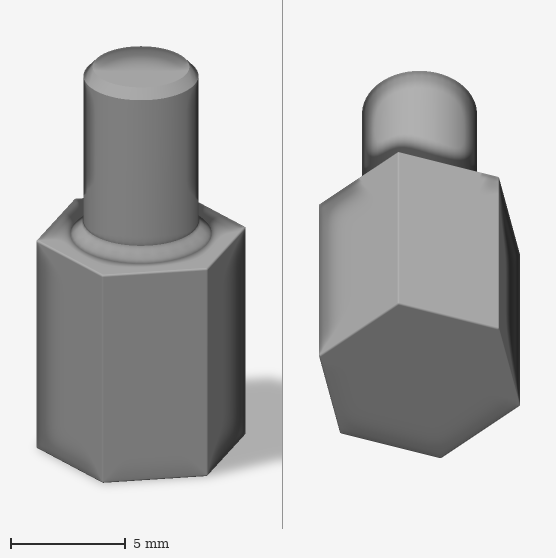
import cadquery as cq
import math

total_height = 18.0
hex_height = total_height * 5 / 9
across_flats = hex_height * 4 / 5
edge_radius = 0.09

stud_radius = 2.5
tip_radius = 2.1
tip_height = 0.43
cone_base_radius = 3.08
stud_root = hex_height / 2
cone_height = cone_base_radius - stud_radius


def hexagonal_body():
    """Hexagonal prism with corners on the X axis and every edge rounded."""
    across_corners = across_flats / math.cos(math.pi / 6)
    prism = cq.Workplane("XY").polygon(6, across_corners).extrude(hex_height)
    return prism.edges().fillet(edge_radius)


def stud():
    """Turned stud with a conical foot and a bevelled tip."""
    return (
        cq.Workplane("XZ")
        .moveTo(0, stud_root)
        .lineTo(cone_base_radius, stud_root)
        .lineTo(cone_base_radius, hex_height)
        .lineTo(stud_radius, hex_height + cone_height)
        .lineTo(stud_radius, total_height - tip_height)
        .lineTo(tip_radius, total_height)
        .lineTo(0, total_height)
        .close()
        .revolve(360, (0, 0, 0), (0, 1, 0))
    )


result = hexagonal_body().union(stud())